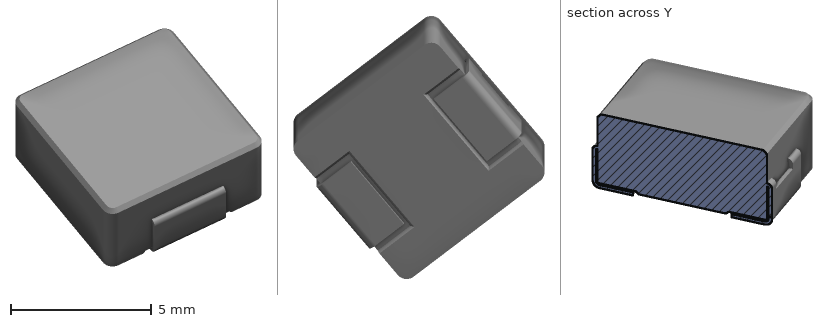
import cadquery as cq

body_side = 6.6
body_height = 3.0
corner_radius = 0.4
top_chamfer = 0.15

overall_length = 7.0
sheet_thickness = 0.15
terminal_width = 3.0
terminal_height = 1.75
foot_length = 1.6
foot_bend_radius = 0.3
tip_bend_radius = (overall_length - body_side) / 2
tab_gap_width = 1.5
tab_gap_depth = 0.4

standoff = 0.1
pocket_depth = 0.1
pocket_ceiling_width = 3.5
pocket_end_clearance = 0.1

half_body = body_side / 2
half_length = overall_length / 2
foot_end = half_length - foot_length


def make_body():
    block = cq.Workplane("XY").workplane(offset=standoff).rect(body_side, body_side).extrude(body_height)
    return block.edges("|Z").fillet(corner_radius).faces(">Z").edges().chamfer(top_chamfer)


def make_terminal():
    """Terminal on the +X end: foot, upright wall, and a tip bent in to the body."""
    inner_wall = half_length - sheet_thickness
    tip_bend_start = terminal_height - tip_bend_radius
    foot_bend_start = half_length - foot_bend_radius
    inner_foot_radius = foot_bend_radius - sheet_thickness
    inner_tip_radius = tip_bend_radius - sheet_thickness
    profile = (
        cq.Workplane("XZ")
        .moveTo(foot_end, 0)
        .lineTo(foot_bend_start, 0)
        .radiusArc((half_length, foot_bend_radius), -foot_bend_radius)
        .lineTo(half_length, tip_bend_start)
        .radiusArc((half_body, terminal_height), -tip_bend_radius)
        .lineTo(half_body, terminal_height - sheet_thickness)
        .radiusArc((inner_wall, tip_bend_start), inner_tip_radius)
        .lineTo(inner_wall, foot_bend_radius)
        .radiusArc((foot_bend_start, sheet_thickness), inner_foot_radius)
        .lineTo(foot_end, sheet_thickness)
        .close()
    )
    return profile.extrude(terminal_width / 2, both=True)


def make_tab_gap():
    """Cutter that splits the top of a terminal, modelled on the +X end, into two tabs."""
    gap_center = (half_body + half_length) / 2
    return (
        cq.Workplane("XY")
        .workplane(offset=terminal_height - tab_gap_depth)
        .center(gap_center, 0)
        .rect(tip_bend_radius, tab_gap_width)
        .extrude(tab_gap_depth)
    )


def make_pocket():
    """Cutter on the +X end, open through the end wall and flaring towards the underside."""
    ceiling_inner_end = foot_end - pocket_end_clearance
    ceiling_length = 2 * (half_length - ceiling_inner_end)
    flare = 2 * pocket_depth
    return (
        cq.Workplane("XY")
        .workplane(offset=standoff)
        .center(half_length, 0)
        .rect(ceiling_length + flare, pocket_ceiling_width + flare)
        .workplane(offset=pocket_depth)
        .rect(ceiling_length, pocket_ceiling_width)
        .loft(ruled=True)
    )


def mirror_end(feature):
    """The same feature moved from the +X end to the -X end."""
    return feature.mirror("YZ")


body = make_body()
pocket = make_pocket()
body = body.cut(pocket).cut(mirror_end(pocket))

full_terminal = make_terminal()
tabbed_terminal = mirror_end(full_terminal.cut(make_tab_gap()))

result = body.union(full_terminal).union(tabbed_terminal)